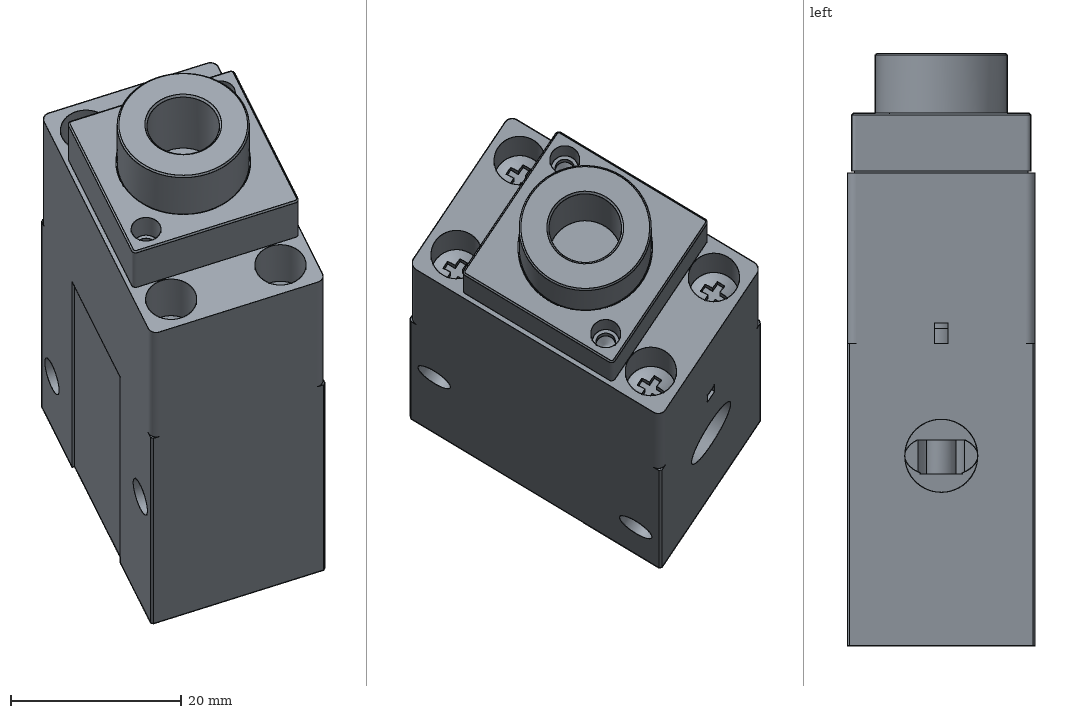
import cadquery as cq

BODY_X = 35.0
BODY_Y = 22.0
BODY_TOP = 55.5
UPPER_START = 35.5
LOWER_CORNER_CHAMFER = 0.25
UPPER_CORNER_RADIUS = 1.0

CAP_SIDE = 21.0
CAP_TOP = 62.5
CAP_GAP = 0.2
CAP_FOOT_INSET = 0.3
CAP_CORNER_RADIUS = 0.5
CAP_EDGE_CHAMFER = 0.2
BOSS_DIAMETER = 15.5
BOSS_TOP = 69.5
BOSS_EDGE_CHAMFER = 0.2
BOSS_GROOVE_DIAMETER = 15.8
BOSS_GROOVE_DEPTH = 0.3
BOSS_BORE_DIAMETER = 8.5
BOSS_BORE_DEPTH = 10.0
BORE_MOUTH_CHAMFER = 0.25

PANEL_WIDTH = 15.2
PANEL_DEPTH = 0.3

MOUNT_DIAMETER = 4.5
MOUNT_X = 14.0
MOUNT_LOW_Z = 9.75
MOUNT_HIGH_Z = 20.25

SCREW_X = 13.5
SCREW_Y = 6.9
SCREW_DIAMETER = 6.0
SCREW_HOLE_DEPTH = 7.0
SCREW_DOME_HEIGHT = 1.1
CROSS_LENGTH = 3.1
CROSS_WIDTH = 1.0
CROSS_DEPTH = 1.2

CAP_SCREW_OFFSET = 7.8
CAP_SCREW_HOLE_DIAMETER = 3.5
CAP_SCREW_HOLE_DEPTH = 5.0
CAP_SCREW_HEAD_DIAMETER = 3.2
CAP_SCREW_HEAD_HEIGHT = 1.8
SOCKET_DIAMETER = 2.3
SOCKET_DEPTH = 1.0
SOCKET_CONE_DEPTH = 0.7

PORT_DIAMETER = 8.57
PORT_Z = 22.3
STEM_DIAMETER = 3.5
CHAMBER_DIAMETER = 5.8
CHAMBER_Z = 22.15
CHAMBER_HEIGHT = 4.0
CHAMBER_OPENING_WIDTH = 5.4
SEAT_HALF_LENGTH = PORT_DIAMETER / 2
SEAT_HALF_HEIGHT = 2.45
SEAT_DEPTH = 0.5

WINDOW_WIDTH = 1.55
WINDOW_HEIGHT = 2.4
STEM_NECK_DIAMETER = 3.2
STEM_SHOULDER_Z = 37.25


def plate(length, width, bottom, top):
    """Block centred on the Z axis between two heights."""
    return cq.Workplane("XY").workplane(offset=bottom).rect(length, width).extrude(top - bottom)


def upright_cylinder(diameter, bottom, top):
    """Cylinder around the Z axis between two heights."""
    return cq.Workplane("XY").workplane(offset=bottom).circle(diameter / 2).extrude(top - bottom)


def body():
    """Chamfered lower block joined to the rounded upper block."""
    lower = plate(BODY_X, BODY_Y, 0, UPPER_START).edges("|Z").chamfer(LOWER_CORNER_CHAMFER)
    upper = plate(BODY_X, BODY_Y, UPPER_START, BODY_TOP).edges("|Z").fillet(UPPER_CORNER_RADIUS)
    return lower.union(upper)


def cap_and_boss():
    """Inset foot, chamfered cap with its ring groove, and the boss."""
    cap_bottom = BODY_TOP + CAP_GAP
    foot_side = CAP_SIDE - 2 * CAP_FOOT_INSET
    groove_floor = CAP_TOP - BOSS_GROOVE_DEPTH
    foot = plate(foot_side, foot_side, BODY_TOP, cap_bottom)
    cap = plate(CAP_SIDE, CAP_SIDE, cap_bottom, CAP_TOP).edges("|Z").fillet(CAP_CORNER_RADIUS)
    cap = cap.faces(">Z").edges().chamfer(CAP_EDGE_CHAMFER)
    cap = cap.cut(upright_cylinder(BOSS_GROOVE_DIAMETER, groove_floor, CAP_TOP))
    boss = upright_cylinder(BOSS_DIAMETER, groove_floor, BOSS_TOP)
    boss = boss.faces(">Z").edges().chamfer(BOSS_EDGE_CHAMFER)
    return foot.union(cap).union(boss)


def boss_bore():
    """Blind bore with a chamfered mouth."""
    radius = BOSS_BORE_DIAMETER / 2
    floor = BOSS_TOP - BOSS_BORE_DEPTH
    profile = [
        (0, floor),
        (radius, floor),
        (radius, BOSS_TOP - BORE_MOUTH_CHAMFER),
        (radius + BORE_MOUTH_CHAMFER, BOSS_TOP),
        (0, BOSS_TOP),
    ]
    return cq.Workplane("XZ").polyline(profile).close().revolve(360, (0, 0), (0, 1))


def panel():
    """Cutter for the recess in the middle of the -Y face, open at the bottom."""
    recess = plate(PANEL_WIDTH, PANEL_DEPTH, 0, UPPER_START)
    return recess.translate((0, (PANEL_DEPTH - BODY_Y) / 2, 0))


def mounting_holes():
    """Cutter for the two holes through the body along Y."""
    return (
        cq.Workplane("XZ").workplane(offset=-BODY_Y / 2)
        .pushPoints([(-MOUNT_X, MOUNT_LOW_Z), (MOUNT_X, MOUNT_HIGH_Z)])
        .circle(MOUNT_DIAMETER / 2).extrude(BODY_Y)
    )


def body_screw_hole(x, y):
    """Round hole closed by a domed screw head with a cross recess."""
    radius = SCREW_DIAMETER / 2
    rim = BODY_TOP - SCREW_HOLE_DEPTH
    crown = rim + SCREW_DOME_HEIGHT
    dome_radius = (radius**2 + SCREW_DOME_HEIGHT**2) / (2 * SCREW_DOME_HEIGHT)
    dome = cq.Workplane("XY").sphere(dome_radius).translate((0, 0, crown - dome_radius))
    hole = upright_cylinder(SCREW_DIAMETER, rim, BODY_TOP).cut(dome)
    for length, width in ((CROSS_LENGTH, CROSS_WIDTH), (CROSS_WIDTH, CROSS_LENGTH)):
        hole = hole.union(plate(length, width, crown - CROSS_DEPTH, BODY_TOP))
    return hole.translate((x, y, 0))


def cap_screw_hole(x, y):
    """Round hole around a cylindrical screw head whose socket ends in a cone."""
    floor = CAP_TOP - CAP_SCREW_HOLE_DEPTH
    head_top = floor + CAP_SCREW_HEAD_HEIGHT
    socket_floor = head_top - SOCKET_DEPTH
    socket_radius = SOCKET_DIAMETER / 2
    socket = [
        (0, socket_floor - SOCKET_CONE_DEPTH),
        (socket_radius, socket_floor),
        (socket_radius, CAP_TOP),
        (0, CAP_TOP),
    ]
    hole = upright_cylinder(CAP_SCREW_HOLE_DIAMETER, floor, CAP_TOP)
    hole = hole.cut(upright_cylinder(CAP_SCREW_HEAD_DIAMETER, floor, head_top))
    hole = hole.union(cq.Workplane("XZ").polyline(socket).close().revolve(360, (0, 0), (0, 1)))
    return hole.translate((x, y, 0))


def port():
    """Side port whose flat floor, with a shallow oval seat, opens into the valve chamber."""
    chamber_radius = CHAMBER_DIAMETER / 2
    floor_x = -(chamber_radius**2 - (CHAMBER_OPENING_WIDTH / 2) ** 2) ** 0.5
    chamber_bottom = CHAMBER_Z - CHAMBER_HEIGHT / 2
    chamber_top = CHAMBER_Z + CHAMBER_HEIGHT / 2
    seat_x = floor_x - SEAT_DEPTH
    bore = (
        cq.Workplane("YZ", origin=(-BODY_X / 2, 0, PORT_Z))
        .circle(PORT_DIAMETER / 2).extrude(seat_x + BODY_X / 2)
    )
    seat = (
        cq.Workplane("YZ", origin=(seat_x, 0, PORT_Z))
        .ellipse(SEAT_HALF_LENGTH, SEAT_HALF_HEIGHT).extrude(SEAT_DEPTH)
    )
    seat = seat.intersect(plate(BODY_X, BODY_Y, chamber_bottom, chamber_top))
    chamber = upright_cylinder(CHAMBER_DIAMETER, chamber_bottom, chamber_top)
    stem = upright_cylinder(STEM_DIAMETER, chamber_bottom, chamber_top)
    return bore.union(seat).union(chamber).cut(stem)


def window():
    """Rectangular slot from the -X face in to the stem and its neck."""
    slot_depth = BODY_X / 2
    top = UPPER_START + WINDOW_HEIGHT
    slot = plate(slot_depth, WINDOW_WIDTH, UPPER_START, top).translate((-slot_depth / 2, 0, 0))
    stem = upright_cylinder(STEM_DIAMETER, UPPER_START, STEM_SHOULDER_Z)
    neck = upright_cylinder(STEM_NECK_DIAMETER, STEM_SHOULDER_Z, top)
    return slot.cut(stem).cut(neck)


result = body().union(cap_and_boss())
result = result.cut(boss_bore()).cut(panel()).cut(mounting_holes())
for side_x in (-1, 1):
    for side_y in (-1, 1):
        result = result.cut(body_screw_hole(side_x * SCREW_X, side_y * SCREW_Y))
for side in (-1, 1):
    result = result.cut(cap_screw_hole(side * CAP_SCREW_OFFSET, -side * CAP_SCREW_OFFSET))
result = result.cut(port()).cut(window()).solids()